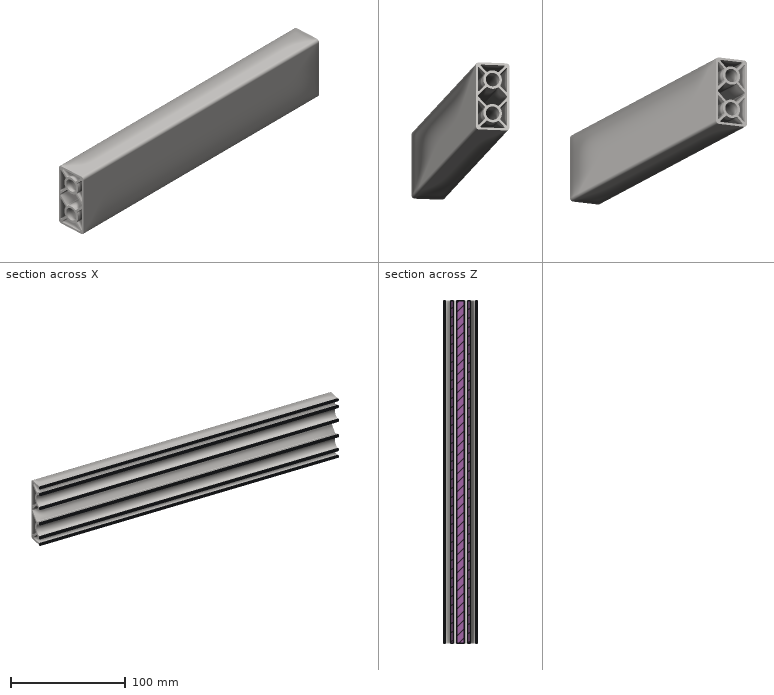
import cadquery as cq
import math

width = 30.0
length = 300.0
height = 2 * width

corner_radius = 3.0
wall = 2.0
web_thickness = 2.0
tube_outer_diameter = 16.5
bore_diameter = 12.0
web_root_radius = 0.5
tube_fillet_radius = 1.0

tube_heights = (-width / 2, width / 2)
tube_centers = [(0, z) for z in tube_heights]

inner_half_width = width / 2 - wall
inner_half_height = height / 2 - wall


def profile_plane():
    """XZ plane through the middle of the length."""
    return cq.Workplane("XZ")


def outer_shell():
    outside = profile_plane().rect(width, height).extrude(length / 2, both=True)
    outside = outside.edges("|Y").fillet(corner_radius)
    inside = profile_plane().rect(2 * inner_half_width, 2 * inner_half_height)
    return outside.cut(inside.extrude(length / 2, both=True))


def diagonal_webs():
    """Crossed 45 degree webs joining each tube to the corners of its square half."""
    web_length = math.sqrt(2) * (width - wall)
    webs = cq.Workplane("XY")
    for center_z in tube_heights:
        for angle in (-45, 45):
            web = cq.Workplane("XY").box(web_length, length, web_thickness)
            web = web.rotate((0, 0, 0), (0, 1, 0), angle)
            webs = webs.add(web.translate((0, 0, center_z)))
    return webs.combine()


def round_web_roots(body):
    """Round the sharp pocket corners where the webs meet the outer walls."""
    web_half_rise = web_thickness / math.sqrt(2)
    side_root_offset = inner_half_width - web_half_rise
    end_root_x = inner_half_height - width / 2 - web_half_rise
    roots = []
    for x in (-end_root_x, end_root_x):
        roots.append((x, -inner_half_height))
        roots.append((x, inner_half_height))
    for center_z in tube_heights:
        for x in (-inner_half_width, inner_half_width):
            roots.append((x, center_z - side_root_offset))
            roots.append((x, center_z + side_root_offset))
    for x, z in roots:
        root = cq.selectors.NearestToPointSelector((x, 0, z))
        body = body.edges(root).fillet(web_root_radius)
    return body


def fillet_web_tube_joints(body):
    """Blend both sides of every web into its tube."""
    tube_radius = tube_outer_diameter / 2
    half_joint_angle = math.asin(web_thickness / 2 / tube_radius)
    for center_z in tube_heights:
        for web_angle in (45, 135, 225, 315):
            for side in (-1, 1):
                angle = math.radians(web_angle) + side * half_joint_angle
                x = tube_radius * math.cos(angle)
                z = center_z + tube_radius * math.sin(angle)
                joint = cq.selectors.NearestToPointSelector((x, 0, z))
                body = body.edges(joint).fillet(tube_fillet_radius)
    return body


tubes = profile_plane().pushPoints(tube_centers).circle(tube_outer_diameter / 2)
tubes = tubes.extrude(length / 2, both=True)
bores = profile_plane().pushPoints(tube_centers).circle(bore_diameter / 2)
bores = bores.extrude(length / 2, both=True)

body = outer_shell().union(diagonal_webs()).union(tubes).cut(bores)
result = fillet_web_tube_joints(round_web_roots(body))